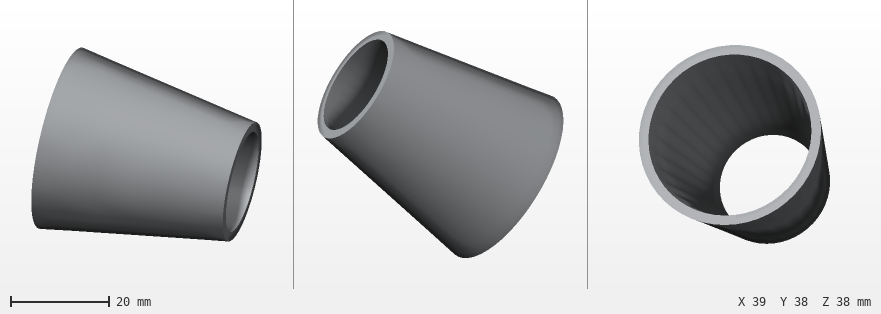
import cadquery as cq

length = 39.0
wide_outer_diameter = 38.0
narrow_outer_diameter = 25.0
wall = 2.0

wide_outer_radius = wide_outer_diameter / 2
narrow_outer_radius = narrow_outer_diameter / 2


def make_reducer():
    """Revolve the sloping wall section about the X axis."""
    wall_section = (
        cq.Workplane("XZ")
        .moveTo(0, wide_outer_radius)
        .lineTo(length, narrow_outer_radius)
        .lineTo(length, narrow_outer_radius - wall)
        .lineTo(0, wide_outer_radius - wall)
        .close()
    )
    return wall_section.revolve(360, (0, 0, 0), (1, 0, 0))


result = make_reducer()